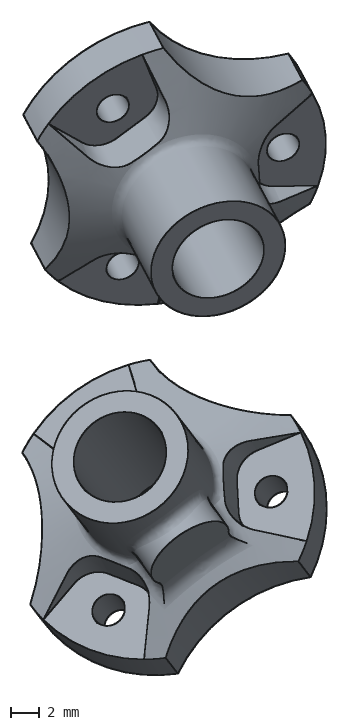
import cadquery as cq
import math

LOBE_COUNT = 3
LOBE_SPACING = 360 / LOBE_COUNT
FIRST_LOBE_ANGLE = 2.9

FLANGE_RADIUS = 22.6 / 2
FLANGE_THICKNESS = 3.2
TOTAL_LENGTH = 13.49
HUB_RADIUS = 9.92 / 2
BORE_DIAMETER = 6.75
CONE_SLOPE = 2.04

SCALLOP_RADIUS = 11.3
SCALLOP_BOTTOM = 8.15

SCREW_DIAMETER = 2.38
SCREW_CIRCLE_RADIUS = 8.14
POCKET_INNER_WALL = 5.72
POCKET_INNER_WIDTH = 5.66
POCKET_FLARE = 15
POCKET_CORNER_RADIUS = 2.1
POCKET_DRAFT = 5
POCKET_OVERRUN = 3

BOSS_ANGLE = FIRST_LOBE_ANGLE - LOBE_SPACING / 2
BOSS_X = 7.9
BOSS_RADIUS = 3.2
BOSS_TOP = 6.5
CONE_FILLET = 1.4
HUB_FILLET = 0.85

CONE_HEIGHT = (FLANGE_RADIUS - HUB_RADIUS) / CONE_SLOPE
CONE_END = FLANGE_THICKNESS + CONE_HEIGHT
CLEARANCE = 0.1


def turn(shape, angle):
    """Turn a shape about the X axis, from +Y towards +Z."""
    return shape.rotate((0, 0, 0), (1, 0, 0), angle)


def lobe_angle(index):
    return FIRST_LOBE_ANGLE + index * LOBE_SPACING


def revolved_body():
    """Flange, cone and hub, with sharp edges."""
    return (
        cq.Workplane("XY")
        .moveTo(0, 0)
        .lineTo(0, FLANGE_RADIUS)
        .lineTo(FLANGE_THICKNESS, FLANGE_RADIUS)
        .lineTo(CONE_END, HUB_RADIUS)
        .lineTo(TOTAL_LENGTH, HUB_RADIUS)
        .lineTo(TOTAL_LENGTH, 0)
        .close()
        .revolve(360, (0, 0, 0), (1, 0, 0))
    )


def scallop():
    """Cutter for a scallop on the +Y side."""
    return (
        cq.Workplane("YZ")
        .center(SCALLOP_BOTTOM + SCALLOP_RADIUS, 0)
        .circle(SCALLOP_RADIUS)
        .extrude(TOTAL_LENGTH)
    )


def screw_hole():
    """Cutter for a screw hole in the +Y lobe."""
    return (
        cq.Workplane("YZ")
        .center(SCREW_CIRCLE_RADIUS, 0)
        .circle(SCREW_DIAMETER / 2)
        .extrude(TOTAL_LENGTH)
    )


def head_pocket():
    """Cutter for the drafted pocket in the +Y lobe, open at the rim."""
    inner_half_width = POCKET_INNER_WIDTH / 2
    outer_end = FLANGE_RADIUS + POCKET_OVERRUN
    spread = (outer_end - POCKET_INNER_WALL) * math.tan(math.radians(POCKET_FLARE))
    outer_half_width = inner_half_width + spread
    profile = (
        cq.Sketch()
        .polygon(
            [
                (POCKET_INNER_WALL, -inner_half_width),
                (outer_end, -outer_half_width),
                (outer_end, outer_half_width),
                (POCKET_INNER_WALL, inner_half_width),
                (POCKET_INNER_WALL, -inner_half_width),
            ]
        )
        .vertices("<X")
        .fillet(POCKET_CORNER_RADIUS)
    )
    return (
        cq.Workplane("YZ", origin=(FLANGE_THICKNESS, 0, 0))
        .placeSketch(profile)
        .extrude(CONE_HEIGHT, taper=-POCKET_DRAFT)
    )


def boss():
    """Round boss pointing along +Y from the X axis."""
    return (
        cq.Workplane("XZ", origin=(BOSS_X, 0, 0))
        .circle(BOSS_RADIUS)
        .extrude(-BOSS_TOP)
    )


def edges_between(start, end, outer):
    """Selector for edges centred between two X positions and below a height in Y."""
    return cq.selectors.BoxSelector(
        (start, -FLANGE_RADIUS, -FLANGE_RADIUS),
        (end, outer, FLANGE_RADIUS),
    )


def body_with_boss():
    """Body with the boss pointing along +Y, filleted where boss, cone and hub meet."""
    body = revolved_body().union(boss())
    boss_on_cone = edges_between(FLANGE_THICKNESS + CLEARANCE, CONE_END - CLEARANCE, BOSS_TOP + CLEARANCE)
    body = body.edges(boss_on_cone).fillet(CONE_FILLET)
    around_hub = edges_between(CONE_END - CLEARANCE, BOSS_X + BOSS_RADIUS, HUB_RADIUS)
    return body.edges(around_hub).fillet(HUB_FILLET)


result = turn(body_with_boss(), BOSS_ANGLE)
for lobe in range(LOBE_COUNT):
    result = result.cut(turn(head_pocket(), lobe_angle(lobe)))
    result = result.cut(turn(screw_hole(), lobe_angle(lobe)))
    result = result.cut(turn(scallop(), lobe_angle(lobe) + LOBE_SPACING / 2))

bore = cq.Workplane("YZ").circle(BORE_DIAMETER / 2).extrude(TOTAL_LENGTH)
result = result.cut(bore)